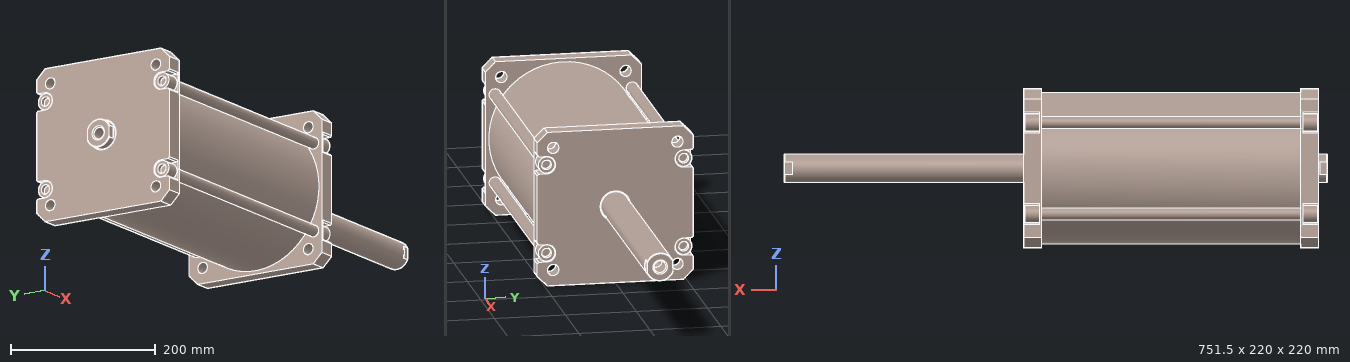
import cadquery as cq
import math

length = 751.5
rod_overhang = 12.0
plate_thickness = 25.0
barrel_length = 358.5
rear_plate_x = rod_overhang
barrel_x = rear_plate_x + plate_thickness
front_plate_x = barrel_x + barrel_length
front_face_x = front_plate_x + plate_thickness

plate_side = 220.0
corner_chamfer = 14.0
mounting_pitch = 175.0
mounting_hole_diameter = 16.0
rod_hole_chamfer = 1.5

barrel_diameter = 210.5
rod_diameter = 40.0
rod_tip_chamfer = 1.0
flat_width = 36.0
rear_flat_length = 10.0
front_flat_length = 11.0
thread_bore_diameter = 16.5
bore_mouth_diameter = 20.0
bore_depth = 30.0
drill_point_angle = 118.0

tie_pitch_y = 193.0
tie_pitch_z = 126.0
tie_diameter = 16.5
head_diameter = 23.0
head_end_gap = 1.5
slot_width = 25.0
slot_flare = 2.0
slot_depth = 22.0
socket_diameter = 13.5
socket_depth = 7.5

tie_centers = [(y * tie_pitch_y / 2, z * tie_pitch_z / 2) for y in (-1, 1) for z in (-1, 1)]


def cylinder_x(diameter, x_start, x_end, y=0.0, z=0.0):
    """Cylinder along X between two X positions."""
    return (
        cq.Workplane("YZ", origin=(x_start, y, z))
        .circle(diameter / 2)
        .extrude(x_end - x_start)
    )


def box_x(x_start, x_end, y_start, y_end, height):
    """Box given by its X and Y spans and its height, centred on Z = 0."""
    return cq.Workplane("XY").box(
        x_end - x_start, y_end - y_start, height, centered=(False, False, True)
    ).translate((x_start, y_start, 0))


def revolve_about_x(profile):
    """Solid of revolution about X from a profile of (x, radius) points."""
    return cq.Workplane("XY").polyline(profile).close().revolve(360, (0, 0, 0), (1, 0, 0))


def head_slot(y, z):
    """Rear-plate slot for a tie-rod head: round inner end, flared mouth at the nearer Y side."""
    side = math.copysign(1, y)
    side_y = side * plate_side / 2
    flare_start_y = side_y - side * slot_flare
    half_width = slot_width / 2
    half_mouth = half_width + slot_flare
    channel = (
        cq.Workplane("YZ", origin=(rear_plate_x, 0, z))
        .moveTo(y, half_width)
        .lineTo(flare_start_y, half_width)
        .lineTo(side_y, half_mouth)
        .lineTo(side_y, -half_mouth)
        .lineTo(flare_start_y, -half_width)
        .lineTo(y, -half_width)
        .close()
        .extrude(slot_depth)
    )
    return cylinder_x(slot_width, rear_plate_x, rear_plate_x + slot_depth, y, z).union(channel)


def rod_hole():
    """Cutter for the rod hole of the rear plate, chamfered on the outer face."""
    rod_radius = rod_diameter / 2
    profile = [
        (rear_plate_x, 0),
        (rear_plate_x, rod_radius + rod_hole_chamfer),
        (rear_plate_x + rod_hole_chamfer, rod_radius),
        (barrel_x, rod_radius),
        (barrel_x, 0),
    ]
    return revolve_about_x(profile)


def make_rear_plate():
    """End plate with corner holes, rod hole, tie-rod holes and head slots."""
    blank = cq.Workplane("YZ", origin=(rear_plate_x, 0, 0))
    plate = (
        blank.rect(plate_side, plate_side)
        .extrude(plate_thickness)
        .edges("|X")
        .chamfer(corner_chamfer)
    )
    mounting_holes = (
        blank.rect(mounting_pitch, mounting_pitch, forConstruction=True)
        .vertices()
        .circle(mounting_hole_diameter / 2)
        .extrude(plate_thickness)
    )
    plate = plate.cut(mounting_holes).cut(rod_hole())
    for y, z in tie_centers:
        plate = plate.cut(cylinder_x(tie_diameter, rear_plate_x, barrel_x, y, z))
        plate = plate.cut(head_slot(y, z))
    return plate


def make_front_plate():
    """Mirror image of the rear plate at the other end of the barrel."""
    return make_rear_plate().mirror("YZ").translate((rear_plate_x + front_face_x, 0, 0))


def make_barrel():
    """Barrel between the plates, bored to fit the piston rod."""
    barrel = cylinder_x(barrel_diameter, barrel_x, front_plate_x)
    return barrel.cut(cylinder_x(rod_diameter, barrel_x, front_plate_x))


def rod_end_bore():
    """Blind bore from X = 0 with a countersunk mouth and a drill-point bottom."""
    bore_radius = thread_bore_diameter / 2
    mouth_radius = bore_mouth_diameter / 2
    point_length = bore_radius / math.tan(math.radians(drill_point_angle / 2))
    profile = [
        (0, 0),
        (0, mouth_radius),
        (mouth_radius - bore_radius, bore_radius),
        (bore_depth, bore_radius),
        (bore_depth + point_length, 0),
    ]
    return revolve_about_x(profile)


def make_rod():
    """Piston rod through the whole cylinder, with flats and a bore at each end."""
    rod = cylinder_x(rod_diameter, 0, length).edges("%CIRCLE").chamfer(rod_tip_chamfer)
    flat_spans = [(0, rear_flat_length), (length - front_flat_length, length)]
    for x_start, x_end in flat_spans:
        rod = rod.cut(box_x(x_start, x_end, flat_width / 2, rod_diameter, rod_diameter))
        rod = rod.cut(box_x(x_start, x_end, -rod_diameter, -flat_width / 2, rod_diameter))
    bore = rod_end_bore()
    return rod.cut(bore).cut(bore.mirror("YZ").translate((length, 0, 0)))


def make_tie_rod(y, z):
    """Tie rod with a round socket head seated in each plate's slot."""
    rear_end = rear_plate_x + head_end_gap
    front_end = front_face_x - head_end_gap
    rear_seat = rear_plate_x + slot_depth
    front_seat = front_face_x - slot_depth
    tie = cylinder_x(tie_diameter, rear_seat, front_seat, y, z)
    tie = tie.union(cylinder_x(head_diameter, rear_end, rear_seat, y, z))
    tie = tie.union(cylinder_x(head_diameter, front_seat, front_end, y, z))
    tie = tie.cut(cylinder_x(socket_diameter, rear_end, rear_end + socket_depth, y, z))
    return tie.cut(cylinder_x(socket_diameter, front_end - socket_depth, front_end, y, z))


rear_plate = make_rear_plate()
front_plate = make_front_plate()
barrel = make_barrel()
piston_rod = make_rod()
tie_rods = [make_tie_rod(y, z).val() for y, z in tie_centers]

result = cq.Compound.makeCompound(
    [rear_plate.val(), front_plate.val(), barrel.val(), piston_rod.val(), *tie_rods]
)